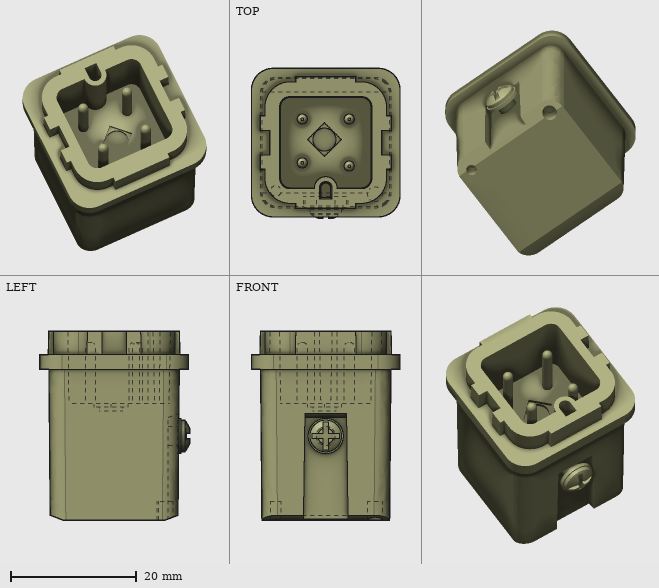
import cadquery as cq
import math

height = 30.1
overall_depth = 23.9
flange_top = 26.37
flange_bottom = 24.02
collar_height = height - flange_top

flange_width = 23.7
flange_radius = 3.52
body_width = 20.77
body_radius = 2.5
body_draft = 0.5
body_foot_width = body_width - 2 * flange_bottom * math.tan(math.radians(body_draft))
chamfer_run = 2.15
chamfer_rise = 0.8

core_width = 19.32
core_radius = 3.97
tab_span = 20.98
tab_draft = 1.4
y_tab_width = 9.7
x_tab_width = 8.65
notch_width = 3.9
notch_floor = 8.95

cavity_width = 14.65
cavity_radius = 1.65
cavity_depth = 11.5
cavity_floor = height - cavity_depth
cavity_draft = 0.7
boss_radius = 1.8
boss_y = -7.22
key_radius = 1.02
key_bottom_y = -8.97
key_draft = 1.2

recess_x = -0.2
recess_y = 0.48
recess_side = 3.8
recess_depth = 0.6
bore_radius = 1.85
bore_depth = 1.2

pin_radius = 0.8
pin_top = 28.32
pin_tip_radius = 0.2
pin_x = 3.73
pin_back_y = pin_x
pin_front_left_y = -3.22
pin_places = [
    (-pin_x, pin_back_y),
    (pin_x, pin_back_y),
    (-pin_x, pin_front_left_y),
    (pin_x, -pin_back_y),
]

groove_top = 17.0
groove_inner_top = 16.37
groove_top_width = 6.62
groove_bottom_width = 7.1
groove_floor_y = -8.6

screw_z = 13.42
washer_radius = 2.8
washer_back = 10.05
washer_face = 10.65
shank_radius = 1.5
head_radius = 2.53
head_shoulder = 11.25
head_face = overall_depth - flange_width / 2
head_face_radius = 1.25
head_bulge_radius = 2.02
head_bulge = 11.65
drive_width = 0.87
drive_length = 4.4
drive_floor = 11.45

underside_holes = [(-7.95, -7.7, 0.85), (7.83, -8.22, 1.17)]
underside_hole_depth = 3.0

embed = 0.3


def rounded_square(width, radius):
    return cq.Sketch().rect(width, width).vertices().fillet(radius)


def make_body():
    """Block that narrows downward with constant corner radii, chamfered along +Y and -Y below."""
    foot = rounded_square(body_foot_width, body_radius)
    shoulder = rounded_square(body_width, body_radius).moved(cq.Location(cq.Vector(0, 0, flange_bottom)))
    body = cq.Workplane("XY").placeSketch(foot, shoulder).loft()
    flat_half = body_foot_width / 2 - chamfer_run
    slope = chamfer_rise / chamfer_run
    reach = body_width / 2 - flat_half
    for side in (-1, 1):
        wedge = (
            cq.Workplane("YZ")
            .polyline([
                (side * flat_half, 0),
                (side * (flat_half + reach), 0),
                (side * (flat_half + reach), reach * slope),
            ])
            .close()
            .extrude(body_width / 2, both=True)
        )
        body = body.cut(wedge)
    return body


def make_flange():
    return (
        cq.Workplane("XY", origin=(0, 0, flange_bottom))
        .placeSketch(rounded_square(flange_width, flange_radius))
        .extrude(flange_top - flange_bottom)
    )


def make_collar():
    base = cq.Workplane("XY", origin=(0, 0, flange_top))
    collar = base.placeSketch(rounded_square(core_width, core_radius)).extrude(collar_height)
    collar = collar.union(base.rect(y_tab_width, tab_span).extrude(collar_height, taper=tab_draft))
    collar = collar.union(base.rect(tab_span, x_tab_width).extrude(collar_height, taper=tab_draft))
    lean = collar_height * math.tan(math.radians(tab_draft))
    outside = flange_width / 2
    for side in (-1, 1):
        notch = (
            cq.Workplane("XZ")
            .polyline([
                (side * notch_floor, flange_top),
                (side * (notch_floor - lean), height),
                (side * outside, height),
                (side * outside, flange_top),
            ])
            .close()
            .extrude(notch_width / 2, both=True)
        )
        collar = collar.cut(notch)
    return collar


def make_cavity():
    """Space to remove: the pocket around the key boss, plus the floor recess."""
    pocket = (
        cq.Workplane("XY", origin=(0, 0, height))
        .placeSketch(rounded_square(cavity_width, cavity_radius))
        .extrude(-cavity_depth, taper=cavity_draft)
    )
    boss = (
        cq.Workplane("XY", origin=(0, boss_y, cavity_floor))
        .circle(boss_radius)
        .extrude(cavity_depth)
    )
    recess_base = cq.Workplane("XY", origin=(recess_x, recess_y, cavity_floor))
    recess = recess_base.transformed(rotate=(0, 0, 45)).rect(recess_side, recess_side).extrude(-recess_depth)
    bore = recess_base.circle(bore_radius).extrude(-bore_depth)
    return pocket.cut(boss).union(recess).union(bore)


def make_key_slot():
    return (
        cq.Workplane("XY", origin=(0, 0, height))
        .moveTo(-key_radius, key_bottom_y)
        .lineTo(key_radius, key_bottom_y)
        .lineTo(key_radius, boss_y)
        .threePointArc((0, boss_y + key_radius), (-key_radius, boss_y))
        .close()
        .extrude(-cavity_depth, taper=key_draft)
    )


def make_pin(x, y):
    """Round pin whose domed end stops at a small flat."""
    dome_height = math.sqrt(pin_radius**2 - pin_tip_radius**2)
    dome_base = pin_top - dome_height
    diagonal = pin_radius * math.sqrt(0.5)
    return (
        cq.Workplane("XZ")
        .moveTo(0, cavity_floor - embed)
        .lineTo(pin_radius, cavity_floor - embed)
        .lineTo(pin_radius, dome_base)
        .threePointArc((diagonal, dome_base + diagonal), (pin_tip_radius, pin_top))
        .lineTo(0, pin_top)
        .close()
        .revolve(360, (0, 0, 0), (0, 1, 0))
        .translate((x, y, 0))
    )


def make_groove():
    """Groove that widens downward, under a ceiling that drops toward its floor."""
    outline = (
        cq.Workplane("XZ")
        .polyline([
            (-groove_bottom_width / 2, 0),
            (groove_bottom_width / 2, 0),
            (groove_top_width / 2, groove_top),
            (-groove_top_width / 2, groove_top),
        ])
        .close()
        .extrude(body_width / 2)
    )
    side_profile = (
        cq.Workplane("YZ")
        .polyline([
            (groove_floor_y, 0),
            (groove_floor_y, groove_inner_top),
            (-body_width / 2, groove_top),
            (-body_width / 2, 0),
        ])
        .close()
        .extrude(groove_bottom_width, both=True)
    )
    return outline.intersect(side_profile)


def make_screw():
    """Pan-head screw on a washer, with a cross drive recessed in its domed head."""
    root = -groove_floor_y - embed
    screw = (
        cq.Workplane("XY")
        .moveTo(0, -root)
        .lineTo(shank_radius, -root)
        .lineTo(shank_radius, -washer_back)
        .lineTo(washer_radius, -washer_back)
        .lineTo(washer_radius, -washer_face)
        .lineTo(head_radius, -washer_face)
        .lineTo(head_radius, -head_shoulder)
        .threePointArc((head_bulge_radius, -head_bulge), (head_face_radius, -head_face))
        .lineTo(0, -head_face)
        .close()
        .revolve(360, (0, 0, 0), (0, 1, 0))
    )
    drive = (
        cq.Workplane("XZ", origin=(0, -drive_floor, 0))
        .rect(drive_length, drive_width)
        .extrude(head_face - drive_floor)
    )
    screw = screw.cut(drive).cut(drive.rotate((0, 0, 0), (0, 1, 0), 90))
    return screw.translate((0, 0, screw_z))


result = make_body().union(make_flange()).union(make_collar())
result = result.cut(make_cavity()).cut(make_key_slot()).cut(make_groove())
for hole_x, hole_y, hole_radius in underside_holes:
    hole = cq.Workplane("XY", origin=(hole_x, hole_y, 0)).circle(hole_radius).extrude(underside_hole_depth)
    result = result.cut(hole)
for x, y in pin_places:
    result = result.union(make_pin(x, y))
result = result.union(make_screw())